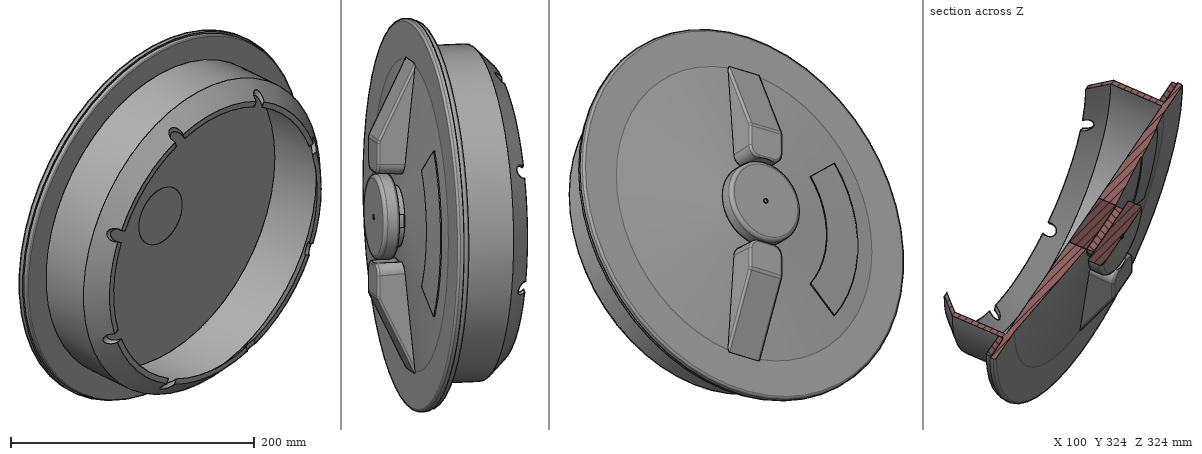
import cadquery as cq
overall_length = 100.0

lid_diameter = 324.0
flange_front = 31.7
flange_thickness = 5.2
flange_fillet = 2.0
crown_diameter = 257.8
crown_apex = 18.0

gasket_diameter = 321.0
gasket_thickness = 4.5
gasket_fillet = 1.0

plug_diameter = 278.0
plug_end_diameter = 248.5
plug_wall = 5.0
taper_length = 15.5

drain_diameter = 11.0
drain_count = 8
drain_first_angle = 20.0
drain_center = 97.8

handle_width = 32.7
handle_foot = 129.5
handle_crest = 65.5
handle_inner_end = 37.5
handle_inner_root = 36.0
handle_corner_fillet = 9.0
handle_crest_fillet = 6.5
handle_edge_fillet = 2.0
knob_clearance_diameter = 76.0

pad_inner_radius = 79.5
pad_outer_radius = 113.0
pad_height = 1.0
pad_angle = 75.4

knob_diameter = 70.5
knob_front = 0.5
knob_back = 14.2
knob_front_fillet = 3.2
knob_back_fillet = 1.5
stem_diameter = 51.0
dimple_diameter = 4.0
dimple_depth = 1.0

key_width = 11.0
key_length = 5.8

flange_back = flange_front + flange_thickness
gasket_back = flange_back + gasket_thickness
taper_start = overall_length - taper_length
crown_radius = crown_diameter / 2
plug_radius = plug_diameter / 2
plug_end_radius = plug_end_diameter / 2


def cylinder_x(diameter, start, end):
    """Solid cylinder on the X axis between two X positions."""
    return cq.Workplane("YZ", origin=(start, 0, 0)).circle(diameter / 2).extrude(end - start)


def nearest_edge(solid, point):
    return solid.edges(cq.selectors.NearestToPointSelector(point))


def turned(profile, angle=360):
    """Solid turned about the X axis from a closed outline of (X, radius) points, starting at +Y."""
    return cq.Workplane("XY").polyline(profile).close().revolve(angle, (0, 0, 0), (1, 0, 0))


def make_flange():
    """Flange with its shallow conical crown."""
    flange = cylinder_x(lid_diameter, flange_front, flange_back)
    flange = flange.faces("<X").edges().fillet(flange_fillet)
    crown = [(crown_apex, 0), (flange_front, crown_radius), (flange_front, 0)]
    return flange.union(turned(crown))


def make_plug():
    """Open tube with a tapered end and radial drain holes."""
    bore_radius = plug_radius - plug_wall
    outline = [
        (flange_back, plug_radius),
        (taper_start, plug_radius),
        (overall_length, plug_end_radius),
        (overall_length, plug_end_radius - plug_wall),
        (taper_start, bore_radius),
        (flange_back, bore_radius),
    ]
    plug = turned(outline)
    for index in range(drain_count):
        plug = plug.cut(make_drain(drain_first_angle + index * 360 / drain_count))
    return plug


def crown_x(radius):
    """X position of the crown's surface at a radius."""
    return crown_apex + (flange_front - crown_apex) * radius / crown_radius


def make_name_pad():
    """Plain raised pad on the -Y side of the crown, parallel to the cone."""
    outline = [
        (crown_x(pad_inner_radius) - pad_height, pad_inner_radius),
        (crown_x(pad_outer_radius) - pad_height, pad_outer_radius),
        (flange_front, pad_outer_radius),
        (flange_front, pad_inner_radius),
    ]
    return turned(outline, pad_angle).rotate((0, 0, 0), (1, 0, 0), 180 - pad_angle / 2)


def make_handle():
    """Wedge-shaped grip on the +Z side, with its inner end hollowed round the knob."""
    side_outline = [
        (0, handle_inner_end),
        (0, handle_crest),
        (flange_front, handle_foot),
        (flange_front, handle_inner_root),
    ]
    handle = cq.Workplane("XZ").polyline(side_outline).close().extrude(handle_width / 2, both=True)
    handle = handle.faces("<Z").edges("not |Y").fillet(handle_corner_fillet)
    handle = nearest_edge(handle, (0, 0, handle_crest)).fillet(handle_crest_fillet)
    handle = nearest_edge(handle, (0, 0, handle_inner_end)).fillet(handle_edge_fillet)
    return handle.cut(cylinder_x(knob_clearance_diameter, 0, flange_front))


def make_drain(angle):
    """Radial drill through the plug wall, at an angle in degrees from +Y towards +Z."""
    drill = (
        cq.Workplane("XZ", origin=(drain_center, 0, 0))
        .circle(drain_diameter / 2)
        .extrude(-plug_radius)
    )
    return drill.rotate((0, 0, 0), (1, 0, 0), angle)


def make_lid():
    """Flange, crown, plug and handles in one piece, with a hole for the stem."""
    handle = make_handle()
    lid = make_flange().union(make_plug()).union(make_name_pad())
    lid = lid.union(handle).union(handle.mirror("XY"))
    return lid.cut(cylinder_x(stem_diameter, 0, flange_back))


def make_gasket():
    """Flat ring with a rounded outer back edge."""
    disc = cylinder_x(gasket_diameter, flange_back, gasket_back)
    disc = disc.faces(">X").edges().fillet(gasket_fillet)
    return disc.cut(cylinder_x(plug_diameter, flange_back, gasket_back))


def make_key():
    """Bar across the stem along Y, with ends rounded to the stem's surface."""
    bar = cq.Workplane("XY").box(key_length, stem_diameter, key_width)
    bar = bar.translate((knob_back + key_length / 2, 0, 0))
    return bar.intersect(cylinder_x(stem_diameter, knob_back, flange_back))


def make_knob(key):
    """Rounded head with a center dimple, on a stem slotted for the key."""
    head = cylinder_x(knob_diameter, knob_front, knob_back)
    head = head.faces("<X").edges().fillet(knob_front_fillet)
    head = head.faces(">X").edges().fillet(knob_back_fillet)
    head = head.cut(cylinder_x(dimple_diameter, knob_front, knob_front + dimple_depth))
    return head.union(cylinder_x(stem_diameter, knob_back, flange_back)).cut(key)


lid = make_lid()
gasket = make_gasket()
stem_key = make_key()
knob = make_knob(stem_key)

result = cq.Compound.makeCompound([lid.val(), gasket.val(), knob.val(), stem_key.val()])